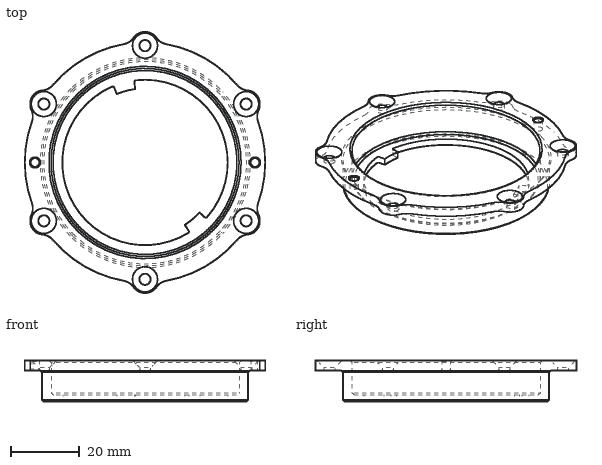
import cadquery as cq
import math

length_y = 76.0
total_height = 12.0

flange_radius = 34.985
flange_thickness = 3.0
lug_radius = 4.0
lug_count = 6
lug_blend_radius = 4.55
bolt_circle_radius = length_y / 2 - lug_radius
screw_hole_diameter = 3.2
countersink_diameter = 7.3
countersink_angle = 90.0

small_hole_offset = 32.0
small_hole_diameter = 2.5
small_hole_chamfer = 0.3

barrel_radius = 30.0
barrel_edge_chamfer = 0.5
bore_radius = 27.35
bore_chamfer = 0.6
floor_thickness = 2.0
opening_radius = 24.0

tab_inner_radius = 21.5
tab_width_angle = 15.0
tab_center_angles = (105.0, -50.0)
tab_root_fillet = 0.45

flange_bottom = total_height - flange_thickness


def polar(radius, angle):
    """Point at a radius and an angle in degrees."""
    return (radius * math.cos(math.radians(angle)), radius * math.sin(math.radians(angle)))


def lug_angles():
    return [90 + index * 360 / lug_count for index in range(lug_count)]


def bolt_circle_points():
    return [polar(bolt_circle_radius, angle) for angle in lug_angles()]


def make_flange():
    """Round plate with lugs blended into its rim by tangent arcs."""
    blend_center_radius = flange_radius + lug_blend_radius
    lug_to_blend = lug_radius + lug_blend_radius
    blend_offset_angle = math.degrees(math.acos(
        (blend_center_radius**2 + bolt_circle_radius**2 - lug_to_blend**2)
        / (2 * blend_center_radius * bolt_circle_radius)
    ))
    plate = cq.Workplane("XY").circle(flange_radius).extrude(flange_thickness)
    lugs = cq.Workplane("XY").pushPoints(bolt_circle_points()).circle(lug_radius).extrude(flange_thickness)
    plate = plate.union(lugs)
    for angle in lug_angles():
        lug_center = polar(bolt_circle_radius, angle)
        blend_centers = [
            polar(blend_center_radius, angle + side * blend_offset_angle) for side in (-1, 1)
        ]
        web = (
            cq.Workplane("XY")
            .polyline([(0, 0), blend_centers[0], lug_center, blend_centers[1]])
            .close()
            .extrude(flange_thickness)
        )
        blend_circles = (
            cq.Workplane("XY").pushPoints(blend_centers).circle(lug_blend_radius).extrude(flange_thickness)
        )
        plate = plate.union(web.cut(blend_circles))
    return plate.translate((0, 0, flange_bottom))


def make_barrel():
    """Barrel with a chamfered lower edge and a sloped corner under the flange."""
    return (
        cq.Workplane("XZ")
        .moveTo(0, 0)
        .lineTo(barrel_radius - barrel_edge_chamfer, 0)
        .lineTo(barrel_radius, barrel_edge_chamfer)
        .lineTo(barrel_radius, flange_bottom - barrel_edge_chamfer)
        .lineTo(barrel_radius + barrel_edge_chamfer, flange_bottom)
        .lineTo(0, flange_bottom)
        .close()
        .revolve(360, (0, 0, 0), (0, 1, 0))
    )


def make_bore():
    """Bore down to the floor, chamfered at its mouth and at its foot."""
    return (
        cq.Workplane("XZ")
        .moveTo(0, floor_thickness)
        .lineTo(bore_radius - bore_chamfer, floor_thickness)
        .lineTo(bore_radius, floor_thickness + bore_chamfer)
        .lineTo(bore_radius, total_height - bore_chamfer)
        .lineTo(bore_radius + bore_chamfer, total_height)
        .lineTo(0, total_height)
        .close()
        .revolve(360, (0, 0, 0), (0, 1, 0))
    )


def make_opening():
    """Floor opening with the two tabs left standing."""
    opening = cq.Workplane("XY").circle(opening_radius).extrude(floor_thickness)
    core = cq.Workplane("XY").circle(tab_inner_radius).extrude(floor_thickness)
    wedge_reach = 2 * opening_radius
    for angle in tab_center_angles:
        wedge = (
            cq.Workplane("XY")
            .polyline([
                (0, 0),
                polar(wedge_reach, angle - tab_width_angle / 2),
                polar(wedge_reach, angle + tab_width_angle / 2),
            ])
            .close()
            .extrude(floor_thickness)
        )
        opening = opening.cut(wedge.cut(core))
    root_limit = (opening_radius + tab_inner_radius) / 2
    tab_roots = opening.edges("|Z").filter(
        lambda edge: math.hypot(edge.Center().x, edge.Center().y) > root_limit
        and abs(edge.Center().y) > tab_root_fillet
    )
    return tab_roots.fillet(tab_root_fillet)


def cut_holes(body):
    """Countersunk lug holes and small chamfered holes, all through the flange."""
    top = cq.Workplane("XY", origin=(0, 0, total_height))
    body = (
        body.copyWorkplane(top)
        .pushPoints(bolt_circle_points())
        .cskHole(screw_hole_diameter, countersink_diameter, countersink_angle)
    )
    return (
        body.copyWorkplane(top)
        .pushPoints([(-small_hole_offset, 0), (small_hole_offset, 0)])
        .cskHole(small_hole_diameter, small_hole_diameter + 2 * small_hole_chamfer, countersink_angle)
    )


ring = make_flange().union(make_barrel()).cut(make_bore()).cut(make_opening())
result = cut_holes(ring)